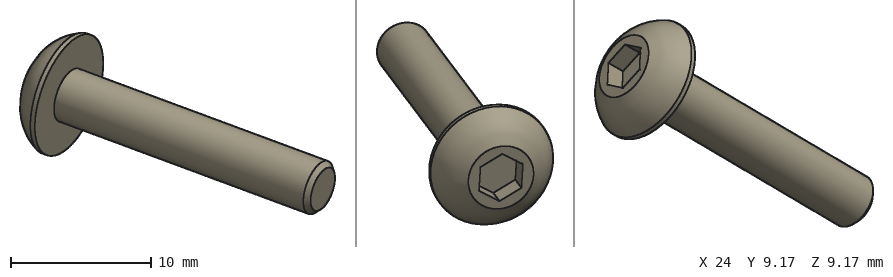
import cadquery as cq

total_length = 24.0
head_diameter = 9.17
head_height = 2.57
head_face_diameter = 4.88
rim_thickness = 0.38
dome_radius = 4.0
shank_diameter = 4.04
tip_chamfer = 0.38

socket_across_corners = 3.67
socket_depth = 1.5
socket_turn = 3.4


def make_head():
    """Domed head with a flat face and a thin cylindrical rim, revolved about X."""
    head_radius = head_diameter / 2
    profile = (
        cq.Workplane("XY")
        .lineTo(0, head_face_diameter / 2)
        .radiusArc((head_height - rim_thickness, head_radius), dome_radius)
        .lineTo(head_height, head_radius)
        .lineTo(head_height, 0)
        .close()
    )
    return profile.revolve(360, (0, 0, 0), (1, 0, 0))


def make_shank():
    """Plain cylindrical shank with a chamfered tip."""
    return (
        cq.Workplane("YZ", origin=(head_height, 0, 0))
        .circle(shank_diameter / 2)
        .extrude(total_length - head_height)
        .faces(">X")
        .chamfer(tip_chamfer)
    )


def make_socket():
    """Hexagonal prism that cuts the drive socket into the head face."""
    corner_on_z = 90
    return (
        cq.Workplane("YZ")
        .polygon(6, socket_across_corners)
        .extrude(socket_depth)
        .rotate((0, 0, 0), (1, 0, 0), corner_on_z + socket_turn)
    )


result = make_head().union(make_shank()).cut(make_socket())